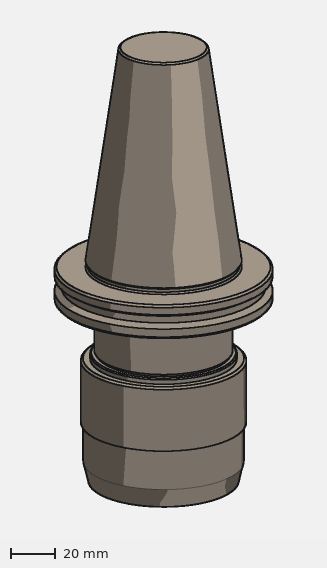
import cadquery as cq
import math

total_height = 206.8
gauge_z = 105.0
flange_top_z = 102.0
flange_bottom_z = 85.8
groove_center_z = 94.0
neck_bottom_z = 62.2
collar_top_z = 61.0
nut_top_z = 58.3
nut_step_z = 28.0
nose_cone_z = 9.3

gauge_radius = 35.0
relief_radius = 34.1
flange_radius = 48.8
groove_root_radius = 45.7
neck_radius = 31.0
collar_relief_radius = 30.2
collar_radius = 32.9
nut_radius = 37.0
nose_radius = 36.0
nose_tip_radius = 33.7

taper_slope = 7 / 48
taper_length = total_height - gauge_z
tip_radius = gauge_radius - taper_length * taper_slope

groove_mouth_width = 6.8
groove_wall_angle = 30.0
groove_wall_height = (flange_radius - groove_root_radius) * math.tan(math.radians(groove_wall_angle))
groove_top_z = groove_center_z + groove_mouth_width / 2
groove_bottom_z = groove_center_z - groove_mouth_width / 2

tip_chamfer = 0.8
relief_chamfer = gauge_radius - relief_radius
flange_chamfer = 1.0
neck_fillet = 1.7
collar_chamfer = 0.6
nut_chamfer = nut_radius - nose_radius

fillet_center_r = neck_radius + neck_fillet
fillet_center_z = flange_bottom_z - neck_fillet
fillet_mid_offset = neck_fillet * math.sqrt(0.5)
fillet_mid = (fillet_center_r - fillet_mid_offset, fillet_center_z + fillet_mid_offset)

profile = (
    cq.Workplane("XZ")
    .moveTo(0, 0)
    .lineTo(nose_tip_radius, 0)
    .lineTo(nose_radius, nose_cone_z)
    .lineTo(nose_radius, nut_step_z)
    .lineTo(nut_radius, nut_step_z)
    .lineTo(nut_radius, nut_top_z - nut_chamfer)
    .lineTo(nose_radius, nut_top_z)
    .lineTo(collar_radius, nut_top_z)
    .lineTo(collar_radius, collar_top_z - collar_chamfer)
    .lineTo(collar_radius - collar_chamfer, collar_top_z)
    .lineTo(collar_relief_radius, collar_top_z)
    .lineTo(neck_radius, neck_bottom_z)
    .lineTo(neck_radius, fillet_center_z)
    .threePointArc(fillet_mid, (fillet_center_r, flange_bottom_z))
    .lineTo(flange_radius - flange_chamfer, flange_bottom_z)
    .lineTo(flange_radius, flange_bottom_z + flange_chamfer)
    .lineTo(flange_radius, groove_bottom_z)
    .lineTo(groove_root_radius, groove_bottom_z + groove_wall_height)
    .lineTo(groove_root_radius, groove_top_z - groove_wall_height)
    .lineTo(flange_radius, groove_top_z)
    .lineTo(flange_radius, flange_top_z - flange_chamfer)
    .lineTo(flange_radius - flange_chamfer, flange_top_z)
    .lineTo(gauge_radius, flange_top_z)
    .lineTo(relief_radius, flange_top_z + relief_chamfer)
    .lineTo(relief_radius, gauge_z - relief_chamfer)
    .lineTo(gauge_radius, gauge_z)
    .lineTo(tip_radius + tip_chamfer * taper_slope, total_height - tip_chamfer)
    .lineTo(tip_radius - tip_chamfer, total_height)
    .lineTo(0, total_height)
    .close()
)

result = profile.revolve(360, (0, 0, 0), (0, 1, 0))